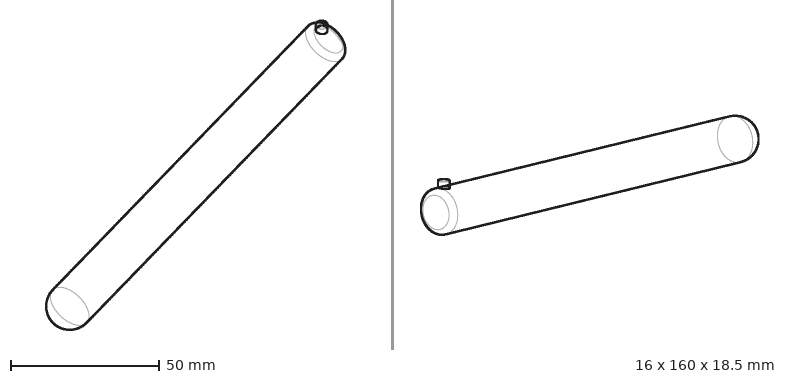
import cadquery as cq
import math

length = 160.0
rod_diameter = 16.0
rod_radius = rod_diameter / 2
back_rounding = 2.0

overall_height = 18.5
pin_diameter = 4.0
pin_from_back = 4.0
pin_tip_rounding = 0.3

pin_top = overall_height - rod_radius
pin_y = length - pin_from_back


def make_rod():
    """Half profile of the rod, revolved about the Y axis."""
    diagonal = math.sqrt(0.5)
    profile = (
        cq.Workplane("YZ")
        .moveTo(0, 0)
        .threePointArc(
            (rod_radius * (1 - diagonal), rod_radius * diagonal),
            (rod_radius, rod_radius),
        )
        .lineTo(length - back_rounding, rod_radius)
        .radiusArc((length, rod_radius - back_rounding), back_rounding)
        .lineTo(length, 0)
        .close()
    )
    return profile.revolve(360, (0, 0, 0), (1, 0, 0))


def make_pin():
    """Upright pin that starts on the rod axis and has a rounded tip."""
    return (
        cq.Workplane("XY", origin=(0, pin_y, 0))
        .circle(pin_diameter / 2)
        .extrude(pin_top)
        .faces(">Z")
        .edges()
        .fillet(pin_tip_rounding)
    )


result = make_rod().union(make_pin())